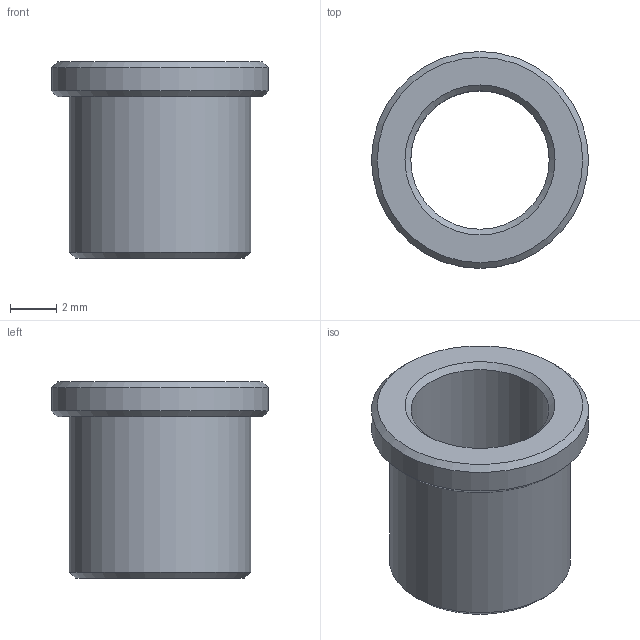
import cadquery as cq

total_height = 8.5
flange_diameter = 9.4
flange_thickness = 1.5
sleeve_diameter = 7.85
bore_diameter = 6.0
edge_chamfer = 0.25

sleeve_length = total_height - flange_thickness


def make_sleeve():
    """Cylindrical sleeve standing on Z = 0, chamfered at its lead-in end."""
    sleeve = cq.Workplane("XY").circle(sleeve_diameter / 2).extrude(total_height)
    return sleeve.faces("<Z").edges().chamfer(edge_chamfer)


def make_flange():
    """Collar at the top of the sleeve, chamfered on both rims."""
    flange = (
        cq.Workplane("XY")
        .workplane(offset=sleeve_length)
        .circle(flange_diameter / 2)
        .extrude(flange_thickness)
    )
    return flange.faces("<Z or >Z").edges().chamfer(edge_chamfer)


def cut_bore(body):
    """Through bore with a chamfered mouth at the flange end."""
    bored = body.faces(">Z").workplane().hole(bore_diameter)
    bore_mouth = bored.faces(">Z").edges(cq.selectors.RadiusNthSelector(0))
    return bore_mouth.chamfer(edge_chamfer)


result = cut_bore(make_sleeve().union(make_flange()))